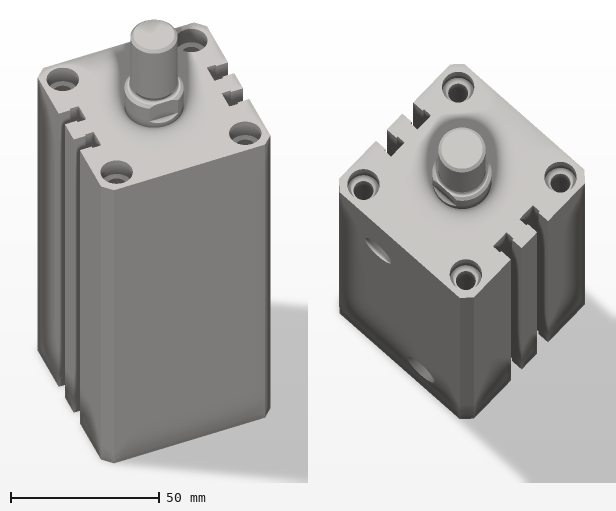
import cadquery as cq
import math

TOTAL_HEIGHT = 168.0
ROD_HEIGHT = 35.0
BLOCK_HEIGHT = TOTAL_HEIGHT - ROD_HEIGHT
BLOCK_WIDTH = 62.0
CORNER_CHAMFER = 3.4

BOLT_PITCH = 47.0
BOLT_DIAMETER = 6.7
COUNTERBORE_DIAMETER = 11.0
COUNTERBORE_DEPTH = 6.5

SLOT_PITCH = 13.1
SLOT_MOUTH_WIDTH = 5.4
SLOT_FLOOR_WIDTH = 6.7
SLOT_MOUTH_DEPTH = 4.4
SLOT_DEPTH = 7.5

PORT_MOUTH_DIAMETER = 12.1
PORT_FLOOR_DIAMETER = 11.0
PORT_DEPTH = 13.5
PORT_OFFSET = 9.9
UPPER_PORT_DROP = 26.9
UPPER_PORT_Z = BLOCK_HEIGHT - UPPER_PORT_DROP
LOWER_PORT_Z = 17.0

COLLAR_DIAMETER = 20.0
COLLAR_HEIGHT = 10.0
COLLAR_CHAMFER = 1.0
UNDERCUT_DIAMETER = 14.0
UNDERCUT_HEIGHT = 2.0
THREAD_DIAMETER = 16.0
THREAD_CHAMFER = 1.0
FLATS_WIDTH = 17.0
FLATS_HEIGHT = 7.2
FLATS_RAMP_ANGLE = 30.0


def make_block():
    """Square column with chamfered vertical edges."""
    column = cq.Workplane("XY").rect(BLOCK_WIDTH, BLOCK_WIDTH).extrude(BLOCK_HEIGHT)
    return column.edges("|Z").chamfer(CORNER_CHAMFER)


def cut_bolt_holes(block):
    """Four counterbored through holes on a square pattern."""
    return (
        block.faces(">Z").workplane(origin=(0, 0, BLOCK_HEIGHT))
        .rect(BOLT_PITCH, BOLT_PITCH, forConstruction=True).vertices()
        .cboreHole(BOLT_DIAMETER, COUNTERBORE_DIAMETER, COUNTERBORE_DEPTH)
    )


def cut_sensor_slots(block):
    """Four T-shaped slots, each a mouth with a wider channel behind it."""
    channel_depth = SLOT_DEPTH - SLOT_MOUTH_DEPTH
    for side in (-1, 1):
        mouth_y = side * (BLOCK_WIDTH - SLOT_MOUTH_DEPTH) / 2
        channel_y = side * (BLOCK_WIDTH / 2 - SLOT_MOUTH_DEPTH - channel_depth / 2)
        for x in (-SLOT_PITCH / 2, SLOT_PITCH / 2):
            mouth = (
                cq.Workplane("XY").center(x, mouth_y)
                .rect(SLOT_MOUTH_WIDTH, SLOT_MOUTH_DEPTH).extrude(BLOCK_HEIGHT)
            )
            channel = (
                cq.Workplane("XY").center(x, channel_y)
                .rect(SLOT_FLOOR_WIDTH, channel_depth).extrude(BLOCK_HEIGHT)
            )
            block = block.cut(mouth).cut(channel)
    return block


def cut_ports(block):
    """Two tapered ports entering the -X side."""
    for y, z in ((PORT_OFFSET, UPPER_PORT_Z), (-PORT_OFFSET, LOWER_PORT_Z)):
        port = cq.Solid.makeCone(
            PORT_MOUTH_DIAMETER / 2,
            PORT_FLOOR_DIAMETER / 2,
            PORT_DEPTH,
            pnt=cq.Vector(-BLOCK_WIDTH / 2, y, z),
            dir=cq.Vector(1, 0, 0),
        )
        block = block.cut(cq.Workplane(port))
    return block


def make_rod_blank():
    """Turned rod standing on the top of the block."""
    collar_radius = COLLAR_DIAMETER / 2
    undercut_radius = UNDERCUT_DIAMETER / 2
    thread_radius = THREAD_DIAMETER / 2
    collar_top = BLOCK_HEIGHT + COLLAR_HEIGHT
    thread_bottom = collar_top + UNDERCUT_HEIGHT
    profile = [
        (0, BLOCK_HEIGHT),
        (collar_radius, BLOCK_HEIGHT),
        (collar_radius, collar_top - COLLAR_CHAMFER),
        (collar_radius - COLLAR_CHAMFER, collar_top),
        (undercut_radius, collar_top),
        (undercut_radius, thread_bottom),
        (thread_radius, thread_bottom),
        (thread_radius, TOTAL_HEIGHT - THREAD_CHAMFER),
        (thread_radius - THREAD_CHAMFER, TOTAL_HEIGHT),
        (0, TOTAL_HEIGHT),
    ]
    return cq.Workplane("XZ").polyline(profile).close().revolve(360, (0, 0), (0, 1))


def cut_wrench_flats(rod):
    """Two flats facing -X and +X, each ending in a ramp down to the collar wall."""
    collar_radius = COLLAR_DIAMETER / 2
    collar_top = BLOCK_HEIGHT + COLLAR_HEIGHT
    flat_bottom = collar_top - FLATS_HEIGHT
    flat_x = FLATS_WIDTH / 2
    ramp_drop = (collar_radius - flat_x) * math.tan(math.radians(FLATS_RAMP_ANGLE))
    outline = [
        (flat_x, collar_top),
        (flat_x, flat_bottom),
        (collar_radius, flat_bottom - ramp_drop),
        (collar_radius, collar_top),
    ]
    cutter = cq.Workplane("XZ").polyline(outline).close().extrude(collar_radius, both=True)
    return rod.cut(cutter).cut(cutter.mirror("YZ"))


housing = cut_ports(cut_sensor_slots(cut_bolt_holes(make_block())))
piston_rod = cut_wrench_flats(make_rod_blank())

result = cq.Compound.makeCompound([housing.val(), piston_rod.val()])